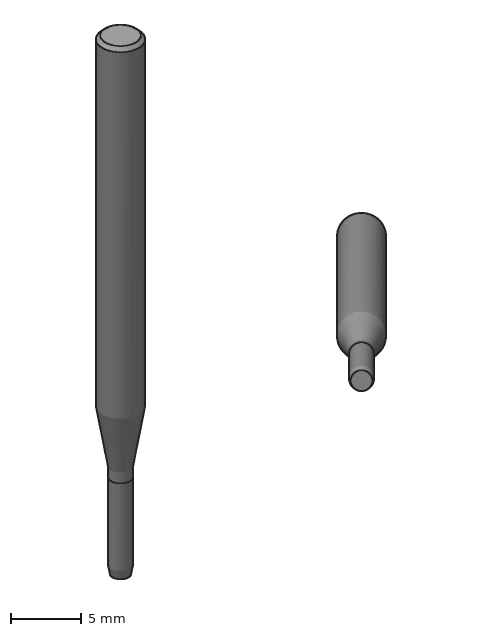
import cadquery as cq

total_length = 45.0
shank_diameter = 3.5
neck_diameter = 1.8
tip_end_diameter = 1.55

tip_taper_length = 0.75
cutter_length = 8.1
neck_length = 0.9
shoulder_length = 5.05
shank_chamfer = 0.3

shoulder_bottom = cutter_length + neck_length
shoulder_top = shoulder_bottom + shoulder_length


def revolve_profile(points):
    """Revolve a closed (radius, height) outline about the Z axis."""
    return cq.Workplane("XZ").polyline(points).close().revolve(360, (0, 0), (0, 1))


def make_cutter():
    """Slim cylindrical cutter with a tapered tip."""
    neck_radius = neck_diameter / 2
    return revolve_profile([
        (0, 0),
        (tip_end_diameter / 2, 0),
        (neck_radius, tip_taper_length),
        (neck_radius, cutter_length),
        (0, cutter_length),
    ])


def make_shank():
    """Cylindrical shank with a short neck, a conical shoulder and a chamfered top."""
    neck_radius = neck_diameter / 2
    shank_radius = shank_diameter / 2
    return revolve_profile([
        (0, cutter_length),
        (neck_radius, cutter_length),
        (neck_radius, shoulder_bottom),
        (shank_radius, shoulder_top),
        (shank_radius, total_length - shank_chamfer),
        (shank_radius - shank_chamfer, total_length),
        (0, total_length),
    ])


cutter = make_cutter()
shank = make_shank()

result = cq.Compound.makeCompound([cutter.val(), shank.val()])